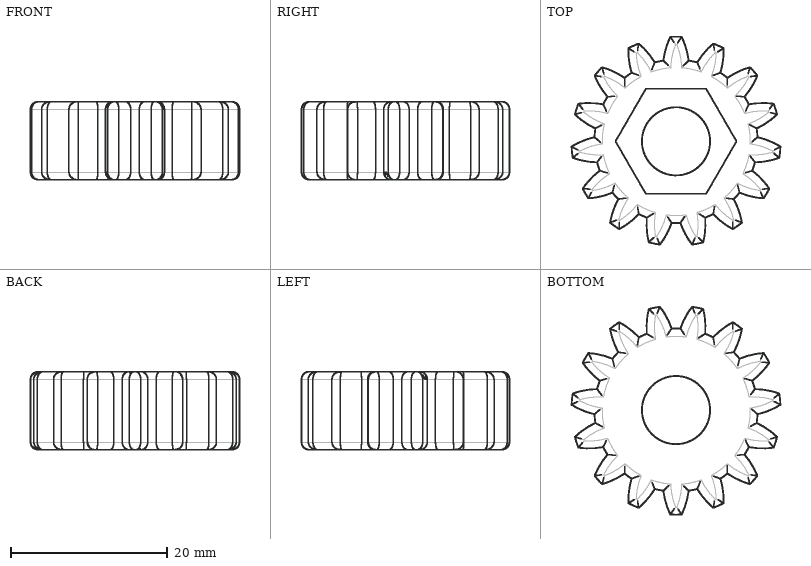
import cadquery as cq
import math

overall_x = 26.75
width = 10.0
root_radius = 10.45
edge_rounding = 1.0

tooth_count = 15
tooth_pitch = 360 / tooth_count
first_tooth_angle = 90
tip_half_angle = math.radians(3.1)

nearest_tooth_angle = math.radians(tooth_pitch / 4)
tip_radius = overall_x / 2 / math.cos(nearest_tooth_angle - tip_half_angle)

flank_arc_radius = 9.35
flank_centre_distance = 9.23
tip_corner_distance = tip_radius * math.cos(tip_half_angle)
tip_half_width = tip_radius * math.sin(tip_half_angle)
flank_centre_to_corner = math.sqrt(flank_arc_radius**2 - (tip_corner_distance - flank_centre_distance) ** 2)
flank_centre_offset = flank_centre_to_corner - tip_half_width

bore_diameter = 8.7
hex_across_flats = 13.4
hex_depth = 2.5


def rounded_disc(radius, x=0, y=0):
    """Disc of the gear's full width, with both rims rounded."""
    disc = cq.Workplane("XY").center(x, y).circle(radius).extrude(width)
    return disc.faces("<Z or >Z").edges().fillet(edge_rounding)


def rounded_tooth():
    """One tooth along +X: the overlap of two flank discs and the tip disc.

    The inner end of this overlap is covered by the root disc and the bore.
    """
    left_flank = rounded_disc(flank_arc_radius, flank_centre_distance, -flank_centre_offset)
    right_flank = rounded_disc(flank_arc_radius, flank_centre_distance, flank_centre_offset)
    return left_flank.intersect(right_flank).intersect(rounded_disc(tip_radius))


def toothed_disc():
    """Root disc with the teeth evenly spaced around it."""
    gear = rounded_disc(root_radius)
    tooth = rounded_tooth()
    for index in range(tooth_count):
        angle = first_tooth_angle + index * tooth_pitch
        gear = gear.union(tooth.rotate((0, 0, 0), (0, 0, 1), angle))
    return gear


def bore():
    """Round hole through the whole width."""
    return cq.Workplane("XY").circle(bore_diameter / 2).extrude(width)


def hex_pocket():
    """Hexagonal recess in the top face, with two corners above the X axis."""
    across_corners = hex_across_flats / math.cos(math.pi / 6)
    pocket_floor = cq.Workplane("XY").workplane(offset=width - hex_depth)
    return pocket_floor.polygon(6, across_corners).extrude(hex_depth)


result = toothed_disc().cut(bore()).cut(hex_pocket())